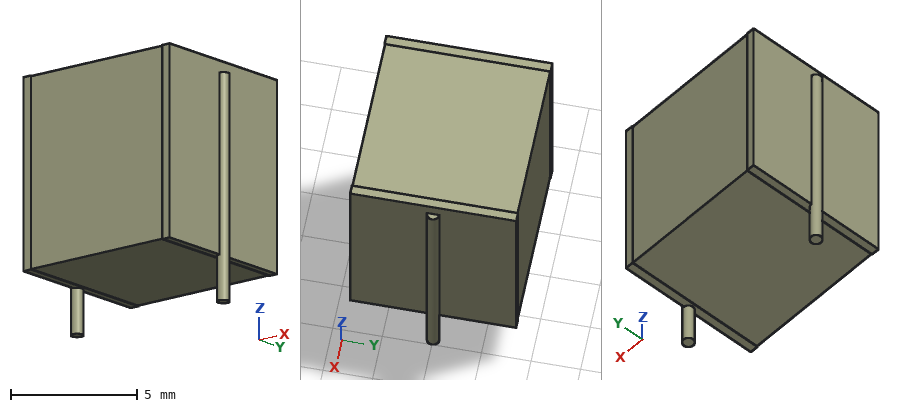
import cadquery as cq

total_height = 9.9
cap_span = 7.49
cap_depth = 6.7
cap_thickness = 0.39
body_inset = 0.02

pin_diameter = 0.5
pin_exposed = 1.89
pin_top_drop = 0.5

cap_height = total_height - pin_exposed
body_length = cap_span - 2 * cap_thickness
pin_length = total_height - pin_top_drop


def make_body():
    """Central block, slightly smaller than the caps."""
    return cq.Workplane("XY").box(
        body_length,
        cap_depth - 2 * body_inset,
        cap_height - 2 * body_inset,
        centered=(True, True, False),
    ).translate((0, 0, pin_exposed + body_inset))


def make_cap(side):
    """Rectangular end plate; side is -1 or +1 along X."""
    center_x = side * (cap_span - cap_thickness) / 2
    return cq.Workplane("XY").box(
        cap_thickness, cap_depth, cap_height, centered=(True, True, False)
    ).translate((center_x, 0, pin_exposed))


def make_pin(side):
    """Round lead, half sunk into the outer face of its cap."""
    return (
        cq.Workplane("XY")
        .center(side * cap_span / 2, 0)
        .circle(pin_diameter / 2)
        .extrude(pin_length)
    )


result = make_body()
for side in (-1, 1):
    result = result.union(make_cap(side)).union(make_pin(side))